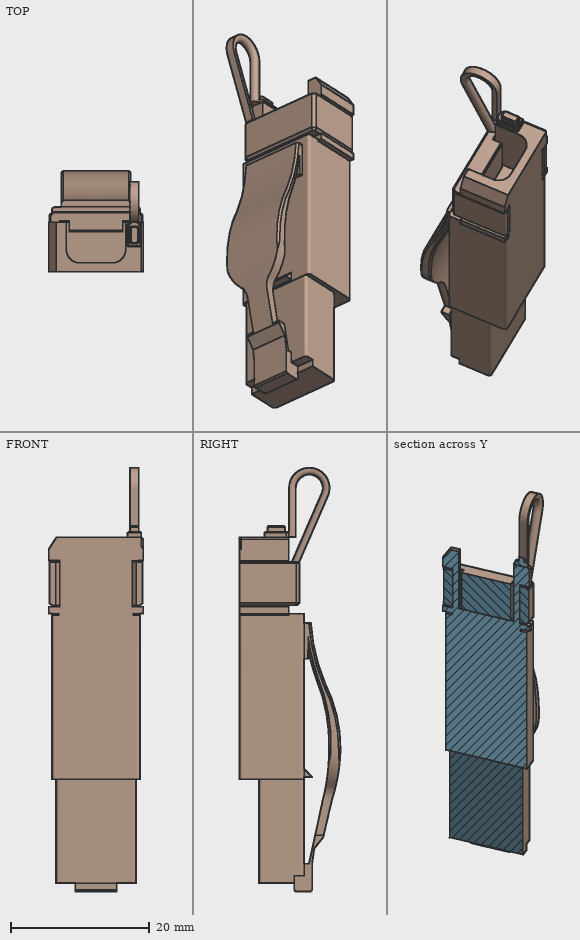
import cadquery as cq
import math


overall_height = 61.4

sleeve_half_width = 6.4
sleeve_depth = 9.4
sleeve_bottom = 16.3
sleeve_top = 40.3
edge_radius = 0.46
cap_half_width = 6.85
cap_depth = 7.2
cap_top = 51.35
cap_shoulder = 47.95
ledge_top = 41.3
core_half_width = 5.3
cap_corner_width = 1.1
cap_corner_height = 1.7
corner_edge_chamfer = 0.3
relief_height = 0.25
relief_half_spacing = 5.4
recess_half_width = 4.3
recess_front = 1.3
recess_corner_radius = 1.95
tooth_bottom = 16.6
tooth_height = 1.2
tooth_reach = 1.15

clamp_half_width = 6.75
clamp_depth = 8.7
clamp_bottom = 41.45
clamp_top = 47.8
clamp_back_chamfer = 0.5
clamp_front_radius = 0.215
clamp_top_chamfer = 0.2
clamp_back_gap = 0.2
clamp_bottom_chamfer = 0.35
clamp_inner_chamfer = 0.55
tongue_half_width = 3.9
tongue_front = 5.85

plug_half_width = 5.805
plug_front = 2.8
plug_bottom = 1.2
notch_top = 2.35

latch_half_width = 5.05
latch_neck_half_width = 1.85
root_half_width = 3.0
root_shoulder = 8.15
latch_edge_chamfer = 0.3
latch_wide_bottom = 20.65
latch_bend = 15.3
latch_neck_top = 13.4
lever_top = 38.95
pad_bottom = 33.7
pad_back = 9.95
block_front = 7.9
block_back = 10.55
block_top = 4.05
block_chamfer = 0.25

strap_width = 1.3
strap_side = 0.4
strap_thickness = 1.015
strap_x = 5.56
loop_radius = 2.95
strap_lean = 23.5
foot_width = 2.0
foot_front = 3.6
foot_height = 0.8
foot_edge_chamfer = 0.2
foot_corner_radius = 0.25
button_front = 4.05
button_back = 6.65
button_height = 0.85
button_chamfer = 0.2
button_corner_radius = 0.35


def block(x_range, y_range, z_range):
    """Box between the given limits on each axis."""
    sizes = [high - low for low, high in (x_range, y_range, z_range)]
    corner = (x_range[0], y_range[0], z_range[0])
    return cq.Workplane("XY").box(*sizes, centered=False).translate(corner)


def centered_block(half_width, y_range, z_range):
    """Box that is symmetric about X = 0."""
    return block((-half_width, half_width), y_range, z_range)


def extrude_across(profile, half_width):
    """Extrude a YZ profile equally to both sides of X = 0."""
    return profile.extrude(half_width, both=True)


def make_sleeve():
    sleeve = centered_block(sleeve_half_width, (0, sleeve_depth), (sleeve_bottom, sleeve_top))
    return sleeve.edges("|Z").fillet(edge_radius)


def make_cap():
    """Bevelled cap head, narrow neck and ledge, with the right bevel filled in below the anchor."""
    bevel_bottom = cap_top - cap_corner_height
    top_half_width = cap_half_width - cap_corner_width
    head = (
        cq.Workplane("XZ")
        .moveTo(-cap_half_width, cap_shoulder)
        .lineTo(cap_half_width, cap_shoulder)
        .lineTo(cap_half_width, bevel_bottom)
        .lineTo(top_half_width, cap_top)
        .lineTo(-top_half_width, cap_top)
        .lineTo(-cap_half_width, bevel_bottom)
        .close()
        .extrude(-cap_depth)
    )
    neck = centered_block(core_half_width, (0, cap_depth), (sleeve_top, cap_shoulder))
    ledge = centered_block(cap_half_width, (0, cap_depth), (sleeve_top, ledge_top))
    return head.union(make_corner()).union(neck).union(ledge)


def make_corner():
    """Fill of the right cap bevel, with its outer edges broken."""
    corner = block(
        (cap_half_width - cap_corner_width, cap_half_width),
        (0, cap_depth),
        (cap_top - cap_corner_height, cap_top),
    )
    return corner.edges("(>Z and >X) or (>X and <Y)").chamfer(corner_edge_chamfer)


def make_recess():
    """Round-cornered pocket, open to the top and back of the cap."""
    recess = centered_block(
        recess_half_width, (recess_front, cap_depth), (clamp_bottom, cap_top)
    )
    return recess.edges("|Z and <Y").fillet(recess_corner_radius)


def make_housing():
    housing = make_sleeve().union(make_cap()).cut(make_recess())
    for side in (-1, 1):
        outer, inner = side * cap_half_width, side * relief_half_spacing
        relief = block(
            (min(outer, inner), max(outer, inner)),
            (0, cap_depth),
            (sleeve_top - relief_height, sleeve_top),
        )
        housing = housing.cut(relief)
    tooth = (
        cq.Workplane("YZ")
        .polyline(
            [
                (sleeve_depth, tooth_bottom),
                (sleeve_depth + tooth_reach, tooth_bottom),
                (sleeve_depth, tooth_bottom + tooth_height),
            ]
        )
        .close()
    )
    return housing.union(extrude_across(tooth, root_half_width))


def make_clamp():
    """U-shaped clamp with flared leg tips, and a tongue that reaches into the recess."""
    heights = (clamp_bottom, clamp_top)
    clamp = centered_block(clamp_half_width, (0, clamp_depth), heights)
    clamp = clamp.edges("|Z and >Y").chamfer(clamp_back_chamfer)
    clamp = clamp.faces("<Z").edges("not <Y").chamfer(clamp_bottom_chamfer)
    clamp = clamp.faces(">Z").edges("not <Y").chamfer(clamp_top_chamfer)
    clamp = clamp.edges("|Z and <Y").fillet(clamp_front_radius)
    inner_back = cap_depth + clamp_back_gap
    clamp = clamp.cut(centered_block(core_half_width, (0, inner_back), heights))
    flare_width = core_half_width + clamp_inner_chamfer
    flare = (
        cq.Workplane("XY", origin=(0, 0, clamp_bottom))
        .moveTo(-flare_width, 0)
        .lineTo(flare_width, 0)
        .lineTo(core_half_width, clamp_inner_chamfer)
        .lineTo(-core_half_width, clamp_inner_chamfer)
        .close()
        .extrude(clamp_top - clamp_bottom)
    )
    tongue = centered_block(tongue_half_width, (tongue_front, inner_back), heights)
    tongue = tongue.edges(">Z and <Y").chamfer(clamp_top_chamfer)
    return clamp.cut(flare).union(tongue)


def make_plug_body():
    plug = centered_block(
        plug_half_width, (plug_front, sleeve_depth), (plug_bottom, sleeve_bottom)
    )
    plug = plug.edges("|Z").fillet(edge_radius)
    notch = centered_block(plug_half_width, (block_front, sleeve_depth), (plug_bottom, notch_top))
    return plug.cut(notch)


def make_lever():
    """Bowed lever: its side profile, narrowed to a neck near the lower end."""
    profile = (
        cq.Workplane("YZ")
        .moveTo(10.1, block_top)
        .lineTo(12.1, latch_neck_top)
        .threePointArc((12.8, 17.15), (12.95, latch_wide_bottom))
        .threePointArc((12.4, 26.7), (11.1, 30.85))
        .threePointArc((10.0, 34.75), (sleeve_depth, lever_top))
        .lineTo(10.4, lever_top)
        .threePointArc((11.05, 34.4), (12.45, 30.1))
        .threePointArc((14.05, 25.8), (14.7, latch_wide_bottom))
        .threePointArc((14.3, 16.9), (13.45, latch_neck_top))
        .lineTo(12.15, 7.85)
        .lineTo(10.9, 6.25)
        .lineTo(block_back, block_top)
        .close()
    )
    lever = extrude_across(profile, latch_half_width)
    bowed_edges = lever.faces("<X or >X").edges("%CIRCLE")
    lever = bowed_edges.chamfer(latch_edge_chamfer)
    pad = centered_block(latch_half_width, (sleeve_depth, pad_back), (pad_bottom, lever_top))
    lever = lever.union(pad)
    return lever.intersect(make_lever_outline())


def make_lever_outline():
    """Front outline of the lever: S-curves from the wide part to the neck, then a wider root."""
    narrowing = latch_half_width - latch_neck_half_width
    curve_height = latch_wide_bottom - latch_neck_top
    bend_x = latch_half_width - narrowing * (latch_wide_bottom - latch_bend) / curve_height
    return (
        cq.Workplane("XZ")
        .moveTo(-root_half_width, block_top)
        .lineTo(root_half_width, block_top)
        .lineTo(root_half_width, root_shoulder)
        .lineTo(latch_neck_half_width, root_shoulder)
        .lineTo(latch_neck_half_width, latch_neck_top)
        .tangentArcPoint((bend_x, latch_bend), relative=False)
        .tangentArcPoint((latch_half_width, latch_wide_bottom), relative=False)
        .lineTo(latch_half_width, lever_top)
        .lineTo(-latch_half_width, lever_top)
        .lineTo(-latch_half_width, latch_wide_bottom)
        .tangentArcPoint((-bend_x, latch_bend), relative=False)
        .tangentArcPoint((-latch_neck_half_width, latch_neck_top), relative=False)
        .lineTo(-latch_neck_half_width, root_shoulder)
        .lineTo(-root_half_width, root_shoulder)
        .close()
        .extrude(-2 * sleeve_depth)
    )


def make_plug():
    """Plug body with its latch."""
    root = centered_block(root_half_width, (block_front, block_back), (0, notch_top))
    root = root.faces("<Z").edges("|X").chamfer(block_chamfer)
    root_back = centered_block(
        root_half_width, (sleeve_depth, block_back), (notch_top, block_top)
    )
    return make_plug_body().union(root).union(root_back).union(make_lever())


def make_strap():
    """Strap that is flat outside and rounded inside, swept up, around and down to the clamp."""
    lean = math.radians(strap_lean)
    loop_y = cap_depth + loop_radius
    loop_z = overall_height - loop_radius
    tangent_y = loop_y + loop_radius * math.cos(lean)
    tangent_z = loop_z - loop_radius * math.sin(lean)
    end_z = clamp_top - strap_thickness
    end_y = tangent_y - (tangent_z - end_z) * math.tan(lean)
    path = (
        cq.Workplane("YZ", origin=(strap_x, 0, 0))
        .moveTo(cap_depth, cap_top)
        .lineTo(cap_depth, loop_z)
        .threePointArc((loop_y, loop_z + loop_radius), (tangent_y, tangent_z))
        .lineTo(end_y, end_z)
    )
    half_width = strap_width / 2
    strap = (
        cq.Workplane("XY", origin=(strap_x, cap_depth, cap_top))
        .moveTo(-half_width, 0)
        .lineTo(half_width, 0)
        .lineTo(half_width, strap_side)
        .threePointArc((0, strap_thickness), (-half_width, strap_side))
        .close()
        .sweep(path)
    )
    below_clamp_top = centered_block(cap_half_width, (0, 2 * cap_depth), (0, clamp_top))
    return strap.cut(below_clamp_top)


def make_anchor():
    """Foot on top of the cap, with a rounded button on it."""
    foot_top = cap_top + foot_height
    half_foot = foot_width / 2
    foot = block(
        (strap_x - half_foot, strap_x + half_foot), (foot_front, cap_depth), (cap_top, foot_top)
    )
    foot = foot.edges("|Z and <Y").fillet(foot_corner_radius)
    foot = foot.edges("|Z and >Y").chamfer((foot_width - strap_width) / 2)
    foot = foot.faces(">Z").edges("not >Y").chamfer(foot_edge_chamfer)
    half_button = strap_width / 2
    button = block(
        (strap_x - half_button, strap_x + half_button),
        (button_front, button_back),
        (foot_top, foot_top + button_height),
    )
    button = button.edges("|Z").fillet(button_corner_radius)
    button = button.faces(">Z").chamfer(button_chamfer)
    return foot.union(button)


housing = make_housing()
clamp = make_clamp()
plug = make_plug()
lanyard = make_strap().union(make_anchor())

result = cq.Compound.makeCompound([housing.val(), clamp.val(), plug.val(), lanyard.val()])